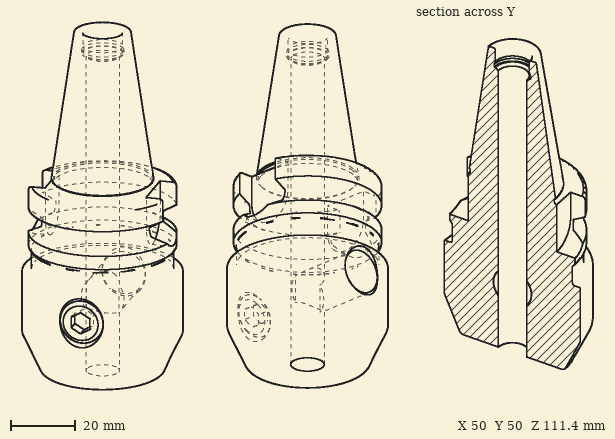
import cadquery as cq
import math

height = 111.4
nose_cone_top = 13.0
body_top = 33.1
neck_top = 40.0
lower_flange_bottom = 41.2
lower_flange_top = 45.6
groove_bottom = 48.0
groove_top = 51.2
upper_flange_bottom = 53.7
flange_top = 61.0
taper_bottom = 63.0

nose_radius = 19.0
body_radius = 25.01
neck_radius = 22.1
flange_radius = 23.0
groove_radius = 19.0
relief_radius = 15.5
taper_radius = 15.87
taper_ratio = 7 / 24
shank_end_radius = taper_radius - (height - taper_bottom) * taper_ratio / 2
relief_chamfer = taper_radius - relief_radius

nose_fillet = 1.8
body_fillet = 0.7
neck_fillet = 0.3
cone_fillet = 1.6
flange_fillet = 1.0
groove_fillet = 0.5
relief_fillet = 0.7
shank_fillet = 0.6

bore_radius = 5.18
pilot_radius = 6.1
undercut_radius = 6.6
pilot_bottom = 106.6
undercut_wall_top = 105.4
undercut_bottom = 104.4
bore_top = undercut_bottom - (pilot_radius - bore_radius)
mouth_fillet = 0.8

slot_width = 15.9
slot_floor = 16.3
slot_bottom = 43.5

screw_height = 24.0
screw_radius = 6.9
screw_face_radius = 5.63
hole_mouth_radius = 8.0
hex_flats = 6.0
hex_depth = 4.0


def round_ring(solid, radius, level, fillet):
    """Fillet the circular edge of the given radius at the given height."""
    tolerance = 0.01

    def on_ring(edge):
        box = edge.BoundingBox()
        flat = box.zlen < tolerance
        return flat and abs(box.zmin - level) < tolerance and abs(box.xmax - radius) < tolerance

    rings = [edge for edge in solid.edges().vals() if on_ring(edge)]
    return solid.newObject(rings).fillet(fillet)


def revolved(points):
    """Turn an (r, z) outline about the Z axis."""
    return cq.Workplane("XZ").polyline(points).close().revolve(360, (0, 0, 0), (0, 1, 0))


def make_body():
    body = revolved([
        (0, 0),
        (nose_radius, 0),
        (body_radius, nose_cone_top),
        (body_radius, body_top),
        (neck_radius, body_top),
        (neck_radius, neck_top),
        (flange_radius, lower_flange_bottom),
        (flange_radius, lower_flange_top),
        (groove_radius, groove_bottom),
        (groove_radius, groove_top),
        (flange_radius, upper_flange_bottom),
        (flange_radius, flange_top),
        (relief_radius, flange_top),
        (relief_radius, taper_bottom - relief_chamfer),
        (taper_radius, taper_bottom),
        (shank_end_radius, height),
        (0, height),
    ])
    for radius, level, fillet in (
        (nose_radius, 0, nose_fillet),
        (body_radius, nose_cone_top, cone_fillet),
        (body_radius, body_top, body_fillet),
        (neck_radius, body_top, body_fillet),
        (neck_radius, neck_top, neck_fillet),
        (groove_radius, groove_bottom, groove_fillet),
        (groove_radius, groove_top, groove_fillet),
        (flange_radius, flange_top, flange_fillet),
        (relief_radius, flange_top, relief_fillet),
        (shank_end_radius, height, shank_fillet),
    ):
        body = round_ring(body, radius, level, fillet)
    return body


def cut_axial_bore(body):
    bore = revolved([
        (0, 0),
        (bore_radius, 0),
        (bore_radius, bore_top),
        (pilot_radius, undercut_bottom),
        (undercut_radius, undercut_bottom),
        (undercut_radius, undercut_wall_top),
        (pilot_radius, pilot_bottom),
        (pilot_radius, height),
        (0, height),
    ])
    return round_ring(body.cut(bore), pilot_radius, height, mouth_fillet)


def cut_drive_slots(body):
    """Two opposite slots, open at the flange top and round at the bottom."""
    half_width = slot_width / 2
    arc_center = slot_bottom + half_width
    slot_depth = body_radius - slot_floor
    for start in (slot_floor, -body_radius):
        slot = (
            cq.Workplane("YZ", origin=(start, 0, 0))
            .moveTo(-half_width, flange_top)
            .lineTo(-half_width, arc_center)
            .threePointArc((0, slot_bottom), (half_width, arc_center))
            .lineTo(half_width, flange_top)
            .close()
            .extrude(slot_depth)
        )
        body = body.cut(slot)
    return body


def turned_pin(points):
    """Turn an (r, distance from axis) outline about the -Y screw axis."""
    pin = cq.Workplane("XY").polyline([(r, -y) for r, y in points]).close()
    return pin.revolve(360, (0, 0, 0), (0, 1, 0)).translate((0, 0, screw_height))


def cut_cross_hole(body):
    """Hole through both walls, countersunk at 45 degrees at each end."""
    countersink_depth = hole_mouth_radius - screw_radius
    half_hole = turned_pin([
        (0, 0),
        (screw_radius, 0),
        (screw_radius, body_radius - countersink_depth),
        (hole_mouth_radius, body_radius),
        (0, body_radius),
    ])
    return body.cut(half_hole).cut(half_hole.mirror("XZ"))


def make_screw():
    """Set screw filling the -Y hole from the bore wall to the body surface."""
    chamfer = screw_radius - screw_face_radius
    screw = turned_pin([
        (0, 0),
        (screw_radius, 0),
        (screw_radius, body_radius - chamfer),
        (screw_face_radius, body_radius),
        (0, body_radius),
    ])
    bore_clearance = cq.Workplane("XY").circle(bore_radius).extrude(height)
    socket = (
        cq.Workplane("XZ", origin=(0, -body_radius, screw_height))
        .transformed(rotate=(0, 0, 90))
        .polygon(6, hex_flats / math.cos(math.pi / 6))
        .extrude(-hex_depth)
    )
    return screw.cut(bore_clearance).cut(socket)


holder = cut_drive_slots(cut_axial_bore(make_body()))
result = cut_cross_hole(holder).union(make_screw())